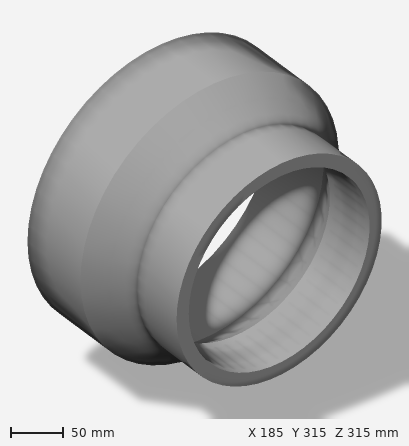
import cadquery as cq

LARGE_DIAMETER = 315.0
LARGE_WALL = 18.7
SMALL_DIAMETER = 250.0
SMALL_WALL = 14.8

LARGE_LENGTH = 80.0
CONE_LENGTH = 45.0
SMALL_LENGTH = 60.0

cone_start = LARGE_LENGTH
cone_end = cone_start + CONE_LENGTH
total_length = cone_end + SMALL_LENGTH

large_outer_radius = LARGE_DIAMETER / 2
large_inner_radius = large_outer_radius - LARGE_WALL
small_outer_radius = SMALL_DIAMETER / 2
small_inner_radius = small_outer_radius - SMALL_WALL


def make_reducer():
    """Revolve the wall section, drawn on the -Y side, around the X axis."""
    wall_section = (
        cq.Workplane("XY")
        .moveTo(0, -large_outer_radius)
        .lineTo(cone_start, -large_outer_radius)
        .lineTo(cone_end, -small_outer_radius)
        .lineTo(total_length, -small_outer_radius)
        .lineTo(total_length, -small_inner_radius)
        .lineTo(cone_end, -small_inner_radius)
        .lineTo(cone_start, -large_inner_radius)
        .lineTo(0, -large_inner_radius)
        .close()
    )
    return wall_section.revolve(360, (0, 0, 0), (1, 0, 0))


result = make_reducer()